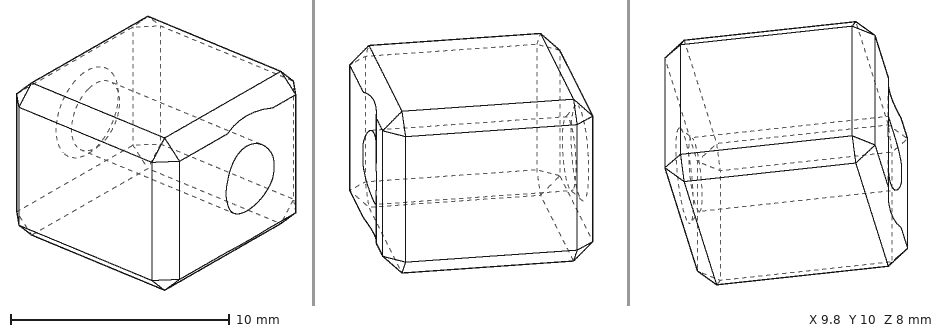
import cadquery as cq

length_x = 9.8
width_y = 10.02
height_z = 8.0
edge_chamfer = 0.9

hole_diameter = 3.4
countersink_depth = 0.5
hole_from_back = 4.13
hole_y = width_y / 2 - hole_from_back

hollow_chord = 3.2
hollow_depth = 0.2
hollow_radius = ((hollow_chord / 2) ** 2 + hollow_depth**2) / (2 * hollow_depth)


def make_block():
    """Box with every edge chamfered."""
    return cq.Workplane("XY").box(length_x, width_y, height_z).edges().chamfer(edge_chamfer)


def make_hole():
    """Bore along X with a 45 degree countersink at the -X face."""
    hole_radius = hole_diameter / 2
    entry_radius = hole_radius + countersink_depth
    entry_x = -length_x / 2
    profile = (
        cq.Workplane("XY", origin=(entry_x, hole_y, 0))
        .moveTo(0, 0)
        .lineTo(0, entry_radius)
        .lineTo(countersink_depth, hole_radius)
        .lineTo(length_x, hole_radius)
        .lineTo(length_x, 0)
        .close()
    )
    return profile.revolve(360, (0, 0, 0), (1, 0, 0))


def make_hollow():
    """Cylinder along Z that sinks into the +X face by the hollow depth."""
    axis_x = length_x / 2 + hollow_radius - hollow_depth
    return cq.Workplane("XY").center(axis_x, hole_y).circle(hollow_radius).extrude(height_z, both=True)


result = make_block().cut(make_hole()).cut(make_hollow())